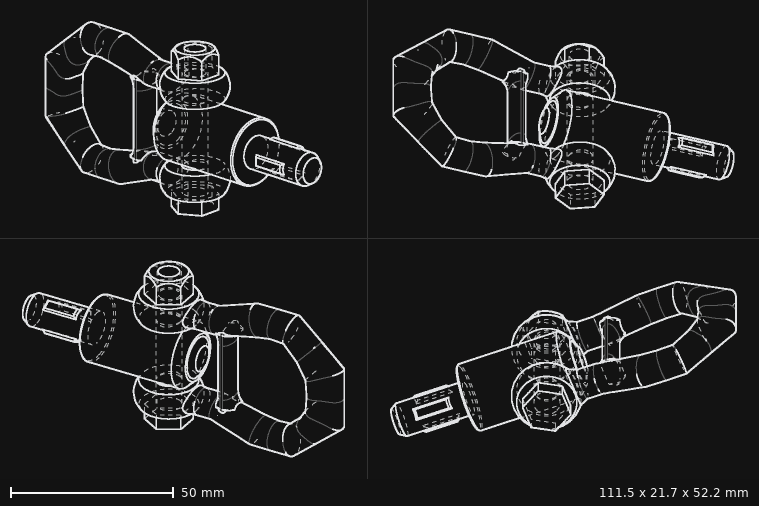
import cadquery as cq
import math


BOLT_RADIUS = 4.0
THREAD_RADIUS = 3.3
HEX_ACROSS_FLATS = 13.0
HEX_ACROSS_CORNERS = HEX_ACROSS_FLATS / math.cos(math.radians(30))
HEAD_HEIGHT = 5.2
NUT_HEIGHT = 8.0
NUT_TOP_RADIUS = 6.1
NUT_CHAMFER_DROP = 1.8

EYE_INNER_Z = 10.9
EYE_OUTER_Z = 19.5
EYE_MIDDLE_Z = (EYE_INNER_Z + EYE_OUTER_Z) / 2
EYE_DIAMETER = 21.7
EYE_RADIUS = EYE_DIAMETER / 2
EYE_FLAT_RADIUS = 9.3
BOW_LEFT_X = -61.9
BOW_HALF_WIDTH = 4.9
BOW_TOP_Z = 24.5
PROFILE_STEPS = 8
WEDGE_HALF_PROFILE = [
    (0, 0),
    (0.02, 1.3),
    (0.1, 2.5),
    (0.4, 3.6),
    (0.7, 4.7),
    (0.83, BOW_HALF_WIDTH),
    (0.95, 4.1),
    (1, 2.5),
    (1, 0),
]
NECK_END_X = -11.7
FLARE_END_X = -8.4
FLARE_HALF_WIDTH = 6.7
FLARE_INSET = 0.3
BAR_LEFT_X = -23.4
BAR_RIGHT_X = -18.7
BAR_FLAT = 0.9
BAR_HALF_WIDTH = 4.3
FOOT_RADIUS = 3.9
FOOT_START_Z = 9.6
FOOT_SHARES = [0, 0.4, 0.7, 0.9]

HOUSING_RADIUS = 10.8
HOUSING_START_X = -7.1
HOUSING_END_X = 25.7
HOUSING_END_CHAMFER = 0.5
NOSE_STEP_X = -10.4
NOSE_STEP_RADIUS = 7.7
BUTTON_RADIUS = 6.7
BUTTON_TIP_RADIUS = 4.1
BUTTON_TIP_X = -11.9
SHANK_RADIUS = 5.3
SHANK_END_X = 49.6
SHANK_TIP_LENGTH = 2.0
SHANK_TIP_RADIUS = 4.1
KEY_COUNT = 3
KEY_CENTER_X = 36.5
KEY_TOP_RADIUS = 6.1
KEY_TOP_LENGTH = 10.0
KEY_TOP_WIDTH = 2.7
KEY_ROOT_RADIUS = 4.8
KEY_ROOT_LENGTH = 12.3
KEY_ROOT_WIDTH = 3.8


def z_cylinder(radius, bottom, top):
    return cq.Workplane("XY").workplane(offset=bottom).circle(radius).extrude(top - bottom)


def hexagon(bottom, height):
    """Hexagonal prism about Z with two flats facing along X."""
    prism = cq.Workplane("XY").workplane(offset=bottom).polygon(6, HEX_ACROSS_CORNERS).extrude(height)
    return prism.rotate((0, 0, 0), (0, 0, 1), 30)


def mirrored_profile(half):
    """Closed profile from the points on its +Y side, the first and last lying on Y = 0."""
    return half + [(depth, -y) for depth, y in reversed(half[1:-1])]


def round_profile(half_width=BOW_HALF_WIDTH):
    angles = [math.pi * step / PROFILE_STEPS for step in range(PROFILE_STEPS + 1)]
    return mirrored_profile([((1 - math.cos(t)) / 2, half_width * math.sin(t)) for t in angles])


def halfway_profile(first, second):
    return [((p[0] + q[0]) / 2, (p[1] + q[1]) / 2) for p, q in zip(first, second)]


def bow_section(outer, inner, profile):
    """Smooth closed wire across the bow; a depth of 0 lies at the outer point, 1 at the inner."""
    points = []
    for depth, y in profile:
        x = outer[0] + depth * (inner[0] - outer[0])
        z = outer[1] + depth * (inner[1] - outer[1])
        points.append(cq.Vector(x, y, z))
    return cq.Wire.assembleEdges([cq.Edge.makeSpline(points, periodic=True)])


def half_bow():
    """Upper half of the bow, from the left middle to the eye."""
    wedge = mirrored_profile(WEDGE_HALF_PROFILE)
    oval = round_profile()
    flare = round_profile(FLARE_HALF_WIDTH)
    shoulder = halfway_profile(wedge, oval)
    flare_outer = (FLARE_END_X, EYE_OUTER_Z - FLARE_INSET)
    flare_inner = (FLARE_END_X, EYE_INNER_Z + FLARE_INSET)
    stations = [
        ((BOW_LEFT_X, 0), (-50.8, 0), wedge),
        ((BOW_LEFT_X, 10.3), (-50.4, 5.5), wedge),
        ((-53.4, 17.4), (-46.9, 10.6), shoulder),
        ((-44.9, BOW_TOP_Z), (-42.2, 14.7), oval),
        ((-37.7, BOW_TOP_Z), (-37.7, 15.0), oval),
        ((-30.1, BOW_TOP_Z), (-33.3, 14.3), oval),
        ((-16.4, EYE_OUTER_Z), (-17.9, EYE_INNER_Z), oval),
        ((NECK_END_X, EYE_OUTER_Z), (NECK_END_X, EYE_INNER_Z), oval),
        (flare_outer, flare_inner, flare),
    ]
    sections = [bow_section(outer, inner, profile) for outer, inner, profile in stations]
    return cq.Workplane(cq.Solid.makeLoft(sections, True))


def eye():
    """Ring about the bolt with flat faces and a bulging rim."""
    return (
        cq.Workplane("XZ")
        .moveTo(0, EYE_INNER_Z)
        .lineTo(EYE_FLAT_RADIUS, EYE_INNER_Z)
        .threePointArc((EYE_RADIUS, EYE_MIDDLE_Z), (EYE_FLAT_RADIUS, EYE_OUTER_Z))
        .lineTo(0, EYE_OUTER_Z)
        .close()
        .revolve(360, (0, 0, 0), (0, 1, 0))
    )


def bar_outline(z, spread):
    """Bar section: two short flats joined by half ellipses, which bulge by a further spread along X."""
    flat_center_x = (BAR_LEFT_X + BAR_RIGHT_X) / 2
    flat_left = flat_center_x - BAR_FLAT / 2
    flat_right = flat_center_x + BAR_FLAT / 2
    bulge = flat_left - BAR_LEFT_X + spread
    z_axis = cq.Vector(0, 0, 1)
    y_axis = cq.Vector(0, 1, 0)

    def half_ellipse(center_x, start, end):
        center = cq.Vector(center_x, 0, z)
        return cq.Edge.makeEllipse(BAR_HALF_WIDTH, bulge, center, z_axis, y_axis, start, end)

    def flat(y):
        return cq.Edge.makeLine(cq.Vector(flat_left, y, z), cq.Vector(flat_right, y, z))

    return cq.Wire.assembleEdges([
        half_ellipse(flat_left, 0, 180),
        flat(-BAR_HALF_WIDTH),
        half_ellipse(flat_right, 180, 360),
        flat(BAR_HALF_WIDTH),
    ])


def crossbar():
    """Straight bar between the two arms of the bow."""
    bar = cq.Solid.extrudeLinear(bar_outline(-EYE_MIDDLE_Z, 0), [], cq.Vector(0, 0, 2 * EYE_MIDDLE_Z))
    return cq.Workplane(bar)


def bar_foot():
    """Upper foot of the crossbar, which spreads into the bow along a circular curve."""
    outlines = []
    for share in FOOT_SHARES:
        spread = FOOT_RADIUS * (1 - math.sqrt(1 - share**2))
        outlines.append(bar_outline(FOOT_START_Z + share * FOOT_RADIUS, spread))
    return cq.Workplane(cq.Solid.makeLoft(outlines))


def make_shackle():
    half = half_bow().union(eye()).union(bar_foot())
    body = half.union(half.mirror("XY")).union(crossbar())
    return body.cut(z_cylinder(BOLT_RADIUS, -EYE_OUTER_Z, EYE_OUTER_Z))


def key():
    """Raised key with sloping sides and a cylindrical top, standing on the shank along +Z."""
    block = (
        cq.Workplane("XY")
        .workplane(offset=KEY_ROOT_RADIUS)
        .center(KEY_CENTER_X, 0)
        .rect(KEY_ROOT_LENGTH, KEY_ROOT_WIDTH)
        .workplane(offset=KEY_TOP_RADIUS - KEY_ROOT_RADIUS)
        .rect(KEY_TOP_LENGTH, KEY_TOP_WIDTH)
        .loft(ruled=True)
    )
    top_cylinder = cq.Workplane("YZ").circle(KEY_TOP_RADIUS).extrude(SHANK_END_X)
    return block.intersect(top_cylinder)


def make_housing():
    outline = [
        (BUTTON_TIP_X, 0),
        (BUTTON_TIP_X, BUTTON_TIP_RADIUS),
        (NOSE_STEP_X, BUTTON_RADIUS),
        (NOSE_STEP_X, NOSE_STEP_RADIUS),
        (HOUSING_START_X, HOUSING_RADIUS),
        (HOUSING_END_X - HOUSING_END_CHAMFER, HOUSING_RADIUS),
        (HOUSING_END_X, HOUSING_RADIUS - HOUSING_END_CHAMFER),
        (HOUSING_END_X, SHANK_RADIUS),
        (SHANK_END_X - SHANK_TIP_LENGTH, SHANK_RADIUS),
        (SHANK_END_X, SHANK_TIP_RADIUS),
        (SHANK_END_X, 0),
    ]
    body = cq.Workplane("XZ").polyline(outline).close().revolve(360, (0, 0, 0), (1, 0, 0))
    for index in range(KEY_COUNT):
        body = body.union(key().rotate((0, 0, 0), (1, 0, 0), 90 + index * 360 / KEY_COUNT))
    return body.cut(z_cylinder(BOLT_RADIUS, -HOUSING_RADIUS, HOUSING_RADIUS))


def make_bolt():
    head = hexagon(-EYE_OUTER_Z - HEAD_HEIGHT, HEAD_HEIGHT)
    shank = z_cylinder(BOLT_RADIUS, -EYE_OUTER_Z, EYE_OUTER_Z)
    thread = z_cylinder(THREAD_RADIUS, EYE_OUTER_Z, EYE_OUTER_Z + NUT_HEIGHT)
    return head.union(shank).union(thread)


def make_nut():
    top = EYE_OUTER_Z + NUT_HEIGHT
    corner_radius = HEX_ACROSS_CORNERS / 2
    chamfer_envelope = (
        cq.Workplane("XZ")
        .polyline([
            (0, EYE_OUTER_Z),
            (corner_radius, EYE_OUTER_Z),
            (corner_radius, top - NUT_CHAMFER_DROP),
            (NUT_TOP_RADIUS, top),
            (0, top),
        ])
        .close()
        .revolve(360, (0, 0, 0), (0, 1, 0))
    )
    blank = hexagon(EYE_OUTER_Z, NUT_HEIGHT).intersect(chamfer_envelope)
    return blank.cut(z_cylinder(THREAD_RADIUS, EYE_OUTER_Z, top))


shackle = make_shackle()
housing = make_housing()
bolt = make_bolt()
nut = make_nut()

bodies = [shackle, housing, bolt, nut]
result = cq.Compound.makeCompound([body.solids().val() for body in bodies])